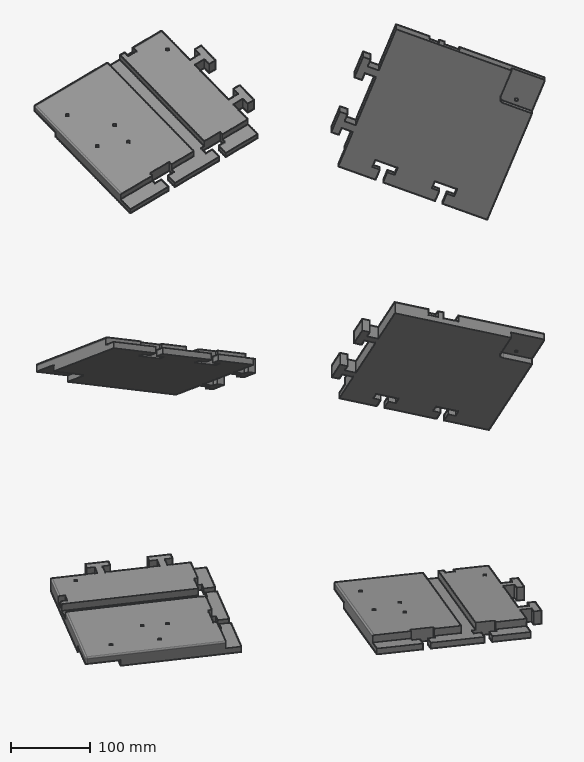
import cadquery as cq

total_length = 225.0
tile_side = 200.0
height = 18.0
floor_level = 8.0

tab_reach = total_length - tile_side
head_depth = 10.1
head_width = 30.0
stem_width = 10.0
interlock_centers = (65.0, 145.0)

lip_width = 20.0
channel_start = 115.0
channel_width = 20.0

notch_start = 142.2
notch_width = 12.8
notch_depth = 8.5

pocket_side = 45.0
pocket_height = 8.0
pocket_radius = 6.0

edge_radius = 2.0
hole_diameter = 4.0
hole_depth = 9.0
hole_centers = (
    (29.5, 187.6),
    (86.5, 61.5),
    (118.4, 59.0),
    (38.0, 23.8),
    (100.4, 23.8),
)


def block(x, y, z, dx, dy, dz):
    """Box with its lowest corner at (x, y, z)."""
    return cq.Workplane("XY").box(dx, dy, dz, centered=False).translate((x, y, z))


def t_shape():
    """Full-height T along +Y, with its stem starting at the origin."""
    stem = block(-stem_width / 2, 0, 0, stem_width, tab_reach, height)
    head = block(-head_width / 2, tab_reach - head_depth, 0, head_width, head_depth, height)
    return stem.union(head)


def rounded_tile():
    """Square tile with the outer -X and -Y edges rounded."""
    tile = block(0, 0, 0, tile_side, tile_side, height)
    edges = cq.selectors.BoxSelector((-2.2, -2.2, -2.2), (2.2, 2.2, height + 2.2))
    tile = tile.edges("|Z").edges(edges).fillet(edge_radius)
    return tile.edges(">Z").edges("<X or <Y").fillet(edge_radius)


def corner_pocket():
    """Underside pocket open at the -X/-Y corner, with a rounded inner corner."""
    pocket = block(0, 0, 0, pocket_side, pocket_side, pocket_height)
    return pocket.edges("|Z and >X and >Y").fillet(pocket_radius)


result = rounded_tile()

step_height = height - floor_level
lip_start = tile_side - lip_width
result = result.cut(block(lip_start, 0, floor_level, lip_width, tile_side, step_height))
result = result.cut(block(0, channel_start, floor_level, tile_side, channel_width, step_height))

result = result.cut(block(0, notch_start, floor_level, notch_depth, notch_width, step_height))
result = result.cut(corner_pocket())

slot = t_shape().rotate((0, 0, 0), (0, 0, 1), 90)
for center in interlock_centers:
    result = result.union(t_shape().translate((center, tile_side, 0)))
    result = result.cut(slot.translate((tile_side, center, 0)))

holes = (
    cq.Workplane("XY", origin=(0, 0, height))
    .pushPoints(hole_centers)
    .circle(hole_diameter / 2)
    .extrude(-hole_depth)
)
result = result.cut(holes)